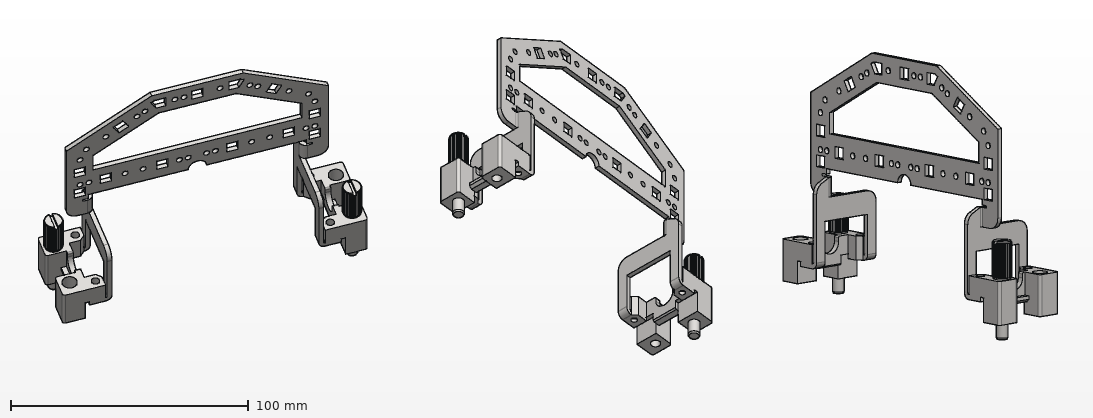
import cadquery as cq
import math

LENGTH = 135.0
WIDTH = 34.0
HEIGHT = 110.7
SHEET = 2.2
BEND_INNER = 0.7
BEND_OUTER = BEND_INNER + SHEET
SLOPE = math.radians(30)

half_length = LENGTH / 2
half_width = WIDTH / 2

plate_x = -9.2
plate_half = 58.0
top_half = 20.2
shoulder_z = HEIGHT - (plate_half - top_half) * math.tan(SLOPE)
plate_bottom = 57.5
leg_inner = 48.3
leg_bottom = 45.8
leg_radius = 5.0
cable_notch_radius = 4.0
relief_bottom = 54.1
relief_top = 55.1
relief_end = 50.9

window_half = 46.2
window_top_half = 17.1
window_bottom = 72.6
window_top = 98.5
window_shoulder = window_top - (window_half - window_top_half) * math.tan(SLOPE)

hole_diameter = 2.5
square_side = 5.0
lower_row_z = 65.2
lower_row_holes = (4.0, 8.0, 24.0, 32.0, 48.0, 52.0)
lower_row_squares = (15.5, 40.5)
side_column_y = 52.0
side_hole_z = 81.0
side_squares = (73.2, 60.1)
upper_row_z = 104.6
upper_row_holes = (10.0, -6.0, -10.0)
slope_start = (23.2, 101.8)
slope_holes = (0.0, 4.0, 20.0, 30.0)
slope_square = 12.3
corner_inner = 14.0
corner_outer = 20.7
corner_cut_z = 106.2

flange_y = 45.8
flange_back = flange_y + SHEET
bend_y = flange_y + BEND_OUTER
bend_x = plate_x - BEND_INNER
flange_radius = 5.0
ear_slope = math.radians(25)
ear_start_z = 47.7
flange_opening_half = 12.2
flange_opening_top = 35.6

block_top = 25.9
block_inner_x = 6.2
block_radius = 1.15
block_y = 57.6
arm_inner_x = 10.0
arm_bottom = 15.7
bend_z = arm_bottom + BEND_OUTER
arm_relief_top = 17.7
screw_block_bottom = 7.2
plain_block_bottom = 8.0
bar_y = 55.8
bar_bottom = 13.4
bar_chamfer = 0.7
lip_y = 58.3
lip_end = 60.6
lip_top = 16.0
lip_chamfer = 1.2
saddle_radius = 4.7
saddle_bottom = 18.9
saddle_round = 0.7

small_hole_x = 13.5
small_hole_y = 52.0
small_hole_diameter = 2.7
small_hole_bore = 3.5
small_hole_floor = arm_bottom + SHEET
screw_x = 10.8
screw_y = 62.5
clearance_diameter = 4.3
counterbore_diameter = 6.3
counterbore_depth = 12.2
head_radius = 4.2
head_top = 42.1
knurl_teeth = 32
knurl_depth = 0.4
knurl_margin = 0.7
shank_radius = 2.5
shank_chamfer = 0.4
shank_chamfer_height = 2 * shank_chamfer
slot_width = 1.5
slot_depth = 1.5


def box(x0, x1, y0, y1, z0, z1):
    return cq.Workplane("XY").box(x1 - x0, y1 - y0, z1 - z0, centered=False).translate((x0, y0, z0))


def mirrored_outline(half_points):
    """Close an outline that is symmetric about Y = 0 from its +Y half."""
    return half_points + [(-y, z) for y, z in reversed(half_points)]


def plate_workplane():
    return cq.Workplane("YZ", origin=(plate_x, 0, 0))


def plate_prism(points):
    return plate_workplane().polyline(points).close().extrude(SHEET)


def square_cutter(y, z, angle=0.0):
    square = cq.Workplane("YZ").rect(square_side, square_side).extrude(SHEET)
    return square.rotate((0, 0, 0), (1, 0, 0), angle).translate((plate_x, y, z))


def corner_cutter():
    """Square opening continued up to the mitre between the top and the sloping side."""
    low = upper_row_z - square_side / 2
    high = upper_row_z + square_side / 2
    outer_low = corner_outer - (corner_cut_z - low) * math.tan(SLOPE)
    outer_high = corner_outer - (high - corner_cut_z) / math.tan(SLOPE)
    return plate_prism([
        (corner_inner, low),
        (outer_low, low),
        (corner_outer, corner_cut_z),
        (outer_high, high),
        (corner_inner, high),
    ])


def slope_point(distance):
    return (
        slope_start[0] + distance * math.cos(SLOPE),
        slope_start[1] - distance * math.sin(SLOPE),
    )


def perforated_plate():
    plate = plate_prism(mirrored_outline([
        (top_half, HEIGHT),
        (plate_half, shoulder_z),
        (plate_half, leg_bottom),
        (bend_y, leg_bottom),
        (bend_y, relief_bottom),
        (leg_inner, relief_bottom),
        (leg_inner, plate_bottom),
    ]))
    for side in (1, -1):
        leg_corner = cq.selectors.NearestToPointSelector(
            (plate_x + SHEET / 2, side * plate_half, leg_bottom)
        )
        plate = plate.edges("|X").edges(leg_corner).fillet(leg_radius)
    plate = plate.cut(plate_prism(mirrored_outline([
        (window_top_half, window_top),
        (window_half, window_shoulder),
        (window_half, window_bottom),
    ])))
    notch = plate_workplane().center(0, plate_bottom).circle(cable_notch_radius).extrude(SHEET)
    plate = plate.cut(notch)

    hole_points = [(y, upper_row_z) for y in upper_row_holes]
    cutters = [square_cutter(0, upper_row_z)]
    for side in (1, -1):
        hole_points += [(side * y, lower_row_z) for y in lower_row_holes]
        hole_points.append((side * side_column_y, side_hole_z))
        for distance in slope_holes:
            y, z = slope_point(distance)
            hole_points.append((side * y, z))
        cutters += [square_cutter(side * y, lower_row_z) for y in lower_row_squares]
        cutters += [square_cutter(side * side_column_y, z) for z in side_squares]
        y, z = slope_point(slope_square)
        cutters.append(square_cutter(side * y, z, -side * math.degrees(SLOPE)))
    cutters.append(corner_cutter())
    cutters.append(corner_cutter().mirror("XZ"))
    cutters.append(plate_workplane().pushPoints(hole_points).circle(hole_diameter / 2).extrude(SHEET))
    for cutter in cutters:
        plate = plate.cut(cutter)
    return plate


def leg_relief():
    """Round-ended slot that frees the bend from the plate above it."""
    radius = (relief_top - relief_bottom) / 2
    end = relief_end - radius
    return (
        plate_workplane()
        .moveTo(flange_y, relief_bottom)
        .lineTo(end, relief_bottom)
        .threePointArc((relief_end, relief_bottom + radius), (end, relief_top))
        .lineTo(flange_y, relief_top)
        .close()
        .extrude(SHEET)
    )


def quarter_bend(workplane, length):
    """Quarter ring about the workplane origin, from its first axis to its second axis."""
    diagonal = math.sqrt(0.5)
    return (
        workplane
        .moveTo(BEND_INNER, 0)
        .lineTo(BEND_OUTER, 0)
        .threePointArc((BEND_OUTER * diagonal, BEND_OUTER * diagonal), (0, BEND_OUTER))
        .lineTo(0, BEND_INNER)
        .threePointArc((BEND_INNER * diagonal, BEND_INNER * diagonal), (BEND_INNER, 0))
        .close()
        .extrude(length)
    )


def flange():
    arc_end_x = -half_width + flange_radius * (1 - math.sin(ear_slope))
    arc_end_z = ear_start_z + flange_radius * math.cos(ear_slope)
    arc_middle = (math.pi / 2 + ear_slope + math.pi) / 2
    middle_x = -half_width + flange_radius * (1 + math.cos(arc_middle))
    middle_z = ear_start_z + flange_radius * math.sin(arc_middle)
    right_center_x = half_width - flange_radius
    right_center_z = leg_bottom - flange_radius
    diagonal = flange_radius * math.sqrt(0.5)
    sheet = (
        cq.Workplane("XZ", origin=(0, flange_back, 0))
        .moveTo(-half_width, bend_z)
        .lineTo(-half_width, ear_start_z)
        .threePointArc((middle_x, middle_z), (arc_end_x, arc_end_z))
        .lineTo(bend_x, relief_bottom)
        .lineTo(bend_x, leg_bottom)
        .lineTo(right_center_x, leg_bottom)
        .threePointArc(
            (right_center_x + diagonal, right_center_z + diagonal),
            (half_width, right_center_z),
        )
        .lineTo(half_width, bend_z)
        .lineTo(flange_opening_half, bend_z)
        .lineTo(flange_opening_half, flange_opening_top)
        .lineTo(-flange_opening_half, flange_opening_top)
        .lineTo(-flange_opening_half, bend_z)
        .close()
        .extrude(SHEET)
    )
    plate_bend = quarter_bend(
        cq.Workplane(cq.Plane((bend_x, bend_y, relief_bottom), xDir=(1, 0, 0), normal=(0, 0, -1))),
        relief_bottom - leg_bottom,
    )
    return sheet.union(plate_bend)


def foot(side, bottom):
    """Block with its arm and the bend that carries it under the flange; side is the sign of X."""
    block = box(block_inner_x, half_width, block_y, half_length, bottom, block_top)
    block = block.edges("|Z and >Y").fillet(block_radius)
    arm_chamfer = flange_opening_half - arm_inner_x
    arm = (
        cq.Workplane("XY", origin=(0, 0, arm_bottom))
        .moveTo(arm_inner_x, block_y)
        .lineTo(arm_inner_x, bend_y + arm_chamfer)
        .lineTo(flange_opening_half, bend_y)
        .lineTo(half_width, bend_y)
        .lineTo(half_width, block_y)
        .close()
        .extrude(block_top - arm_bottom)
    )
    arm = arm.cut(box(arm_inner_x, half_width, bar_y, block_y, arm_bottom, arm_relief_top))
    bend = quarter_bend(
        cq.Workplane(
            cq.Plane((flange_opening_half, bend_y, bend_z), xDir=(0, -1, 0), normal=(1, 0, 0))
        ),
        half_width - flange_opening_half,
    )
    small_hole = (
        cq.Workplane("XY", origin=(small_hole_x, small_hole_y, arm_bottom))
        .circle(small_hole_diameter / 2)
        .extrude(block_top - arm_bottom)
    )
    bore = (
        cq.Workplane("XY", origin=(small_hole_x, small_hole_y, small_hole_floor))
        .circle(small_hole_bore / 2)
        .extrude(block_top - small_hole_floor)
    )
    solid = block.union(arm).union(bend).cut(small_hole).cut(bore)
    return solid if side > 0 else solid.mirror("YZ")


def cross_bar():
    """Upright web with a lip along its lower edge and a round saddle cut into its top."""
    web = box(-arm_inner_x, arm_inner_x, bar_y, lip_y, arm_relief_top, block_top)
    lower = (
        cq.Workplane("YZ", origin=(-block_inner_x, 0, 0))
        .moveTo(bar_y, arm_relief_top)
        .lineTo(bar_y, bar_bottom + bar_chamfer)
        .lineTo(bar_y + bar_chamfer, bar_bottom)
        .lineTo(lip_end - lip_chamfer, bar_bottom)
        .lineTo(lip_end, bar_bottom + lip_chamfer)
        .lineTo(lip_end, lip_top)
        .lineTo(lip_y, lip_top)
        .lineTo(lip_y, arm_relief_top)
        .close()
        .extrude(2 * block_inner_x)
    )
    saddle = (
        cq.Workplane("XZ", origin=(0, lip_y, 0))
        .moveTo(-saddle_radius - saddle_round, block_top)
        .radiusArc((-saddle_radius, block_top - saddle_round), saddle_round)
        .lineTo(-saddle_radius, saddle_bottom + saddle_radius)
        .threePointArc((0, saddle_bottom), (saddle_radius, saddle_bottom + saddle_radius))
        .lineTo(saddle_radius, block_top - saddle_round)
        .radiusArc((saddle_radius + saddle_round, block_top), saddle_round)
        .close()
        .extrude(lip_y - bar_y)
    )
    return web.union(lower).cut(saddle)


def clearance_hole(x):
    counterbore = (
        cq.Workplane("XY", origin=(x, screw_y, block_top - counterbore_depth))
        .circle(counterbore_diameter / 2)
        .extrude(counterbore_depth)
    )
    through = cq.Workplane("XY", origin=(x, screw_y, 0)).circle(clearance_diameter / 2).extrude(block_top)
    return counterbore.union(through)


def thumb_screw(x):
    """Slotted screw whose round head carries a band of pointed knurl teeth."""
    knurl = []
    for step in range(2 * knurl_teeth):
        radius = head_radius - knurl_depth * (step % 2)
        angle = math.pi * step / knurl_teeth
        knurl.append((radius * math.cos(angle), radius * math.sin(angle)))
    head_height = head_top - block_top
    head = cq.Workplane("XY").circle(head_radius - knurl_depth).extrude(head_height)
    grip = cq.Workplane("XY", origin=(0, 0, knurl_margin)).polyline(knurl).close()
    head = head.union(grip.extrude(head_height - 2 * knurl_margin))
    slot = cq.Workplane("XY").box(2 * head_radius, slot_width, 2 * slot_depth)
    head = head.cut(slot.translate((0, 0, head_height))).translate((x, screw_y, block_top))
    shank = cq.Workplane("XY", origin=(x, screw_y, 0)).circle(shank_radius).extrude(block_top)
    shank = shank.faces("<Z").chamfer(shank_chamfer_height, shank_chamfer)
    return head.union(shank)


def bracket(screw_side):
    """Bracket at the +Y end; screw_side is the sign of X where the thumb screw sits."""
    solid = flange().union(cross_bar())
    solid = solid.union(foot(screw_side, screw_block_bottom))
    solid = solid.union(foot(-screw_side, plain_block_bottom))
    solid = solid.cut(clearance_hole(-screw_side * screw_x))
    return solid.union(thumb_screw(screw_side * screw_x))


plate = perforated_plate().cut(leg_relief()).cut(leg_relief().mirror("XZ"))
result = plate.union(bracket(1)).union(bracket(-1).mirror("XZ"))